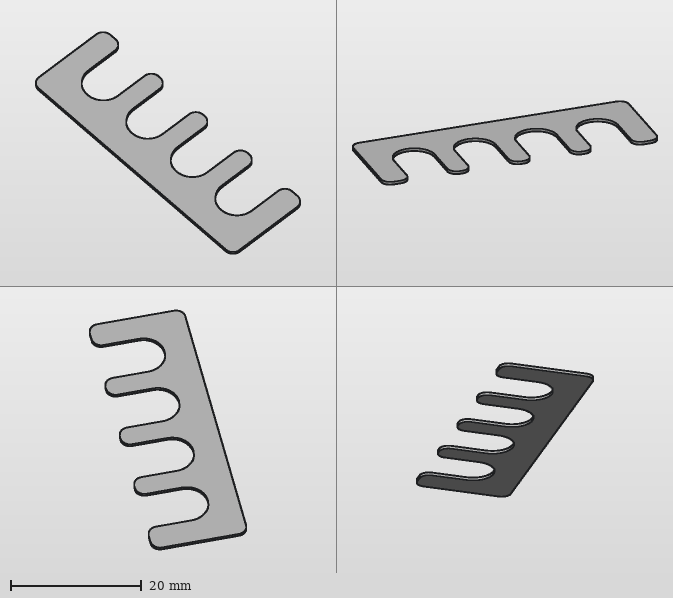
import cadquery as cq

length = 45.0
depth = 15.0
thickness = 0.5
corner_radius = 1.5

slot_count = 4
slot_pitch = 10.0
slot_width = 6.6
slot_depth = 10.35

slot_radius = slot_width / 2
back_edge = depth / 2
slot_center_y = back_edge - slot_depth + slot_radius


def slot_cutter(center_x):
    """Through-slot with straight sides and a semicircular bottom."""
    left = center_x - slot_radius
    right = center_x + slot_radius
    return (
        cq.Workplane("XY")
        .moveTo(left, back_edge)
        .lineTo(left, slot_center_y)
        .threePointArc((center_x, slot_center_y - slot_radius), (right, slot_center_y))
        .lineTo(right, back_edge)
        .close()
        .extrude(thickness)
    )


plate = cq.Workplane("XY").rect(length, depth).extrude(thickness)

for index in range(slot_count):
    slot_x = (index - (slot_count - 1) / 2) * slot_pitch
    plate = plate.cut(slot_cutter(slot_x))

outer_corners = plate.edges("|Z and (<Y or >Y)")
result = outer_corners.fillet(corner_radius)